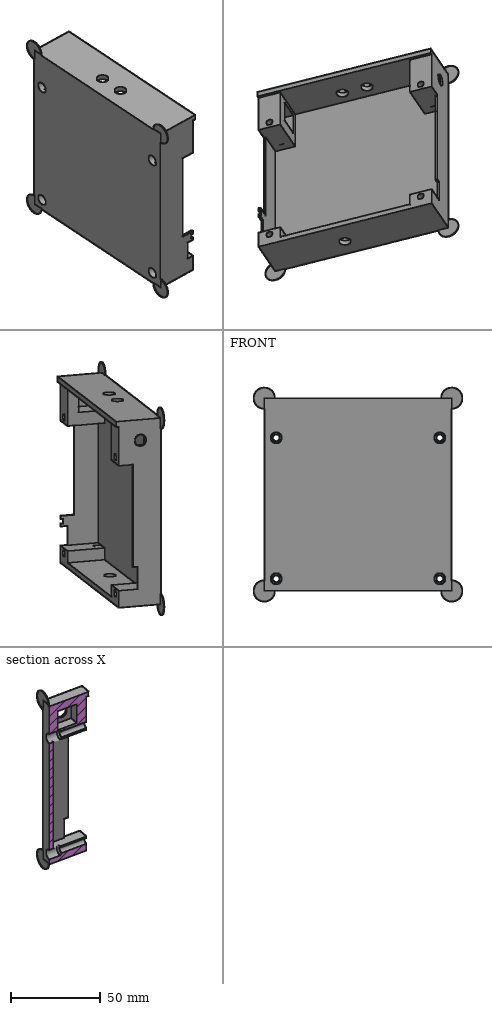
import cadquery as cq

width = 105.0
height = 108.0
depth = 25.0
front_thickness = 3.0
side_thickness = 1.2
end_thickness = 3.1
lip_depth = 1.5

pad_radius = 6.0
pad_thickness = 0.5

screw_x = 45.8
upper_screw_z = 31.8
lower_screw_z = -47.2
screw_diameter = 3.7
head_diameter = 6.2
head_depth = 7.2
cone_end_diameter = 4.2
cone_depth = 1.1

block_width = 13.2
upper_block_bottom = 28.3
lower_block_top = -44.0

cable_diameter = 6.6
side_cable_y = 12.1
end_cable_y = 10.9
top_cable_x = 7.5
bottom_cable_x = 5.9
side_cable_z = 42.0
channel_size = 12.5

left_sill_y = 16.5
left_recess_y = 13.8
left_recess_top = -31.2
right_sill_y = 17.0
right_recess_y = 20.9
post_top = -26.8
post_bottom = -32.9
groove_top = -28.5
groove_bottom = -31.2
groove_depth = 1.5

half_width = width / 2
half_height = height / 2
inner_x = half_width - side_thickness
inner_z = half_height - end_thickness


def box(x_range, y_range, z_range):
    """Axis-aligned box between the given pairs of limits."""
    (x0, x1), (y0, y1), (z0, z1) = x_range, y_range, z_range
    return cq.Workplane("XY").box(x1 - x0, y1 - y0, z1 - z0, centered=False).translate((x0, y0, z0))


def cylinder(diameter, start, direction, length):
    """Round bar from a start point along a direction."""
    solid = cq.Solid.makeCylinder(diameter / 2, length, cq.Vector(*start), cq.Vector(*direction))
    return cq.Workplane(obj=solid)


def open_shell():
    """Box with an open back and a lip along the top wall."""
    shell = box((-half_width, half_width), (0, depth), (-half_height, half_height))
    shell = shell.cut(box((-inner_x, inner_x), (front_thickness, depth), (-inner_z, inner_z)))
    lip = box((-half_width, half_width), (depth, depth + lip_depth), (inner_z, half_height))
    return shell.union(lip)


def corner_block(side, z_range):
    """Solid block in a corner, on the left (side = -1) or on the right (side = 1)."""
    x_range = sorted((side * half_width, side * (half_width - block_width)))
    return box(x_range, (0, depth), z_range)


def cable_channel():
    """Square passage along X through both upper corner blocks, between the side walls."""
    half = channel_size / 2
    y_range = (side_cable_y - half, side_cable_y + half)
    z_range = (side_cable_z - half, side_cable_z + half)
    return box((-inner_x, inner_x), y_range, z_range)


def corner_pads():
    """Thin round pads centred on the corners of the front panel."""
    pads = cq.Workplane("XZ").rect(width, height, forConstruction=True).vertices()
    return pads.circle(pad_radius).extrude(-pad_thickness)


def left_cutout():
    """Deep window in the left wall, stepping deeper just above the lower corner block."""
    x_range = (-half_width, -inner_x)
    window = box(x_range, (left_sill_y, depth), (left_recess_top, upper_block_bottom))
    recess = box(x_range, (left_recess_y, depth), (lower_block_top, left_recess_top))
    return window.union(recess)


def right_cutout():
    """Window and recess in the right wall, either side of a post with a grooved end."""
    x_range = (inner_x, half_width)
    window = box(x_range, (right_sill_y, depth), (post_top, upper_block_bottom))
    groove = box(x_range, (depth - groove_depth, depth), (groove_bottom, groove_top))
    recess = box(x_range, (right_recess_y, depth), (lower_block_top, post_bottom))
    return window.union(groove).union(recess)


def screw_hole(x, z):
    """Hole through the full depth with a head recess that narrows through a cone."""
    hole = cylinder(screw_diameter, (x, 0, z), (0, 1, 0), depth)
    recess = cylinder(head_diameter, (x, 0, z), (0, 1, 0), head_depth)
    cone = cq.Solid.makeCone(
        head_diameter / 2,
        cone_end_diameter / 2,
        cone_depth,
        cq.Vector(x, head_depth, z),
        cq.Vector(0, 1, 0),
    )
    return hole.union(recess).union(cq.Workplane(obj=cone))


result = open_shell().union(corner_pads())

for side in (-1, 1):
    result = result.union(corner_block(side, (upper_block_bottom, half_height)))
    result = result.union(corner_block(side, (-half_height, lower_block_top)))

result = result.cut(cable_channel()).cut(left_cutout()).cut(right_cutout())

for x in (-screw_x, screw_x):
    for z in (upper_screw_z, lower_screw_z):
        result = result.cut(screw_hole(x, z))

for x in (-top_cable_x, top_cable_x):
    top_hole = cylinder(cable_diameter, (x, end_cable_y, half_height), (0, 0, -1), end_thickness)
    result = result.cut(top_hole)

bottom_hole = cylinder(cable_diameter, (bottom_cable_x, end_cable_y, -half_height), (0, 0, 1), end_thickness)
side_hole = cylinder(cable_diameter, (-half_width, side_cable_y, side_cable_z), (1, 0, 0), side_thickness)
result = result.cut(bottom_hole).cut(side_hole)